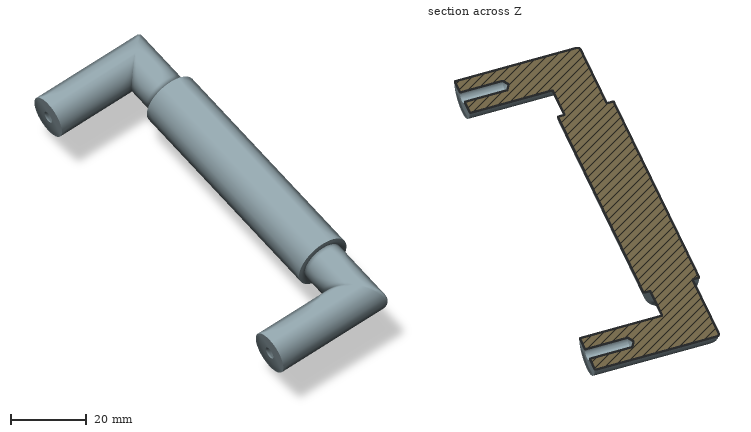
import cadquery as cq
import math

overall_length = 108.0
tube_diameter = 12.0
sleeve_diameter = 15.8
sleeve_length = 66.0
leg_length = 29.2
corner_radius = 1.0
core_fraction = 0.98
hole_diameter = 3.3
hole_depth = 12.0
drill_tip_angle = 118.0

tube_radius = tube_diameter / 2
hole_radius = hole_diameter / 2
leg_offset = overall_length / 2 - tube_radius


def mitred_frame():
    """Round bar following the U-shaped centre line, with mitred corners."""
    path = (
        cq.Workplane("XY")
        .moveTo(-leg_offset, -leg_length)
        .lineTo(-leg_offset, 0)
        .lineTo(leg_offset, 0)
        .lineTo(leg_offset, -leg_length)
    )
    return (
        cq.Workplane("XZ", origin=(-leg_offset, -leg_length, 0))
        .circle(tube_radius)
        .sweep(path, transition="right")
    )


def sleeve():
    """Thicker grip centred on the bar."""
    return (
        cq.Workplane("YZ", origin=(-sleeve_length / 2, 0, 0))
        .circle(sleeve_diameter / 2)
        .extrude(sleeve_length)
    )


def mounting_hole(x):
    """Blind hole with a conical drill tip, entering the end of a leg."""
    tip_depth = hole_radius / math.tan(math.radians(drill_tip_angle / 2))
    return (
        cq.Workplane("XY", origin=(x, -leg_length, 0))
        .polyline([
            (0, 0),
            (hole_radius, 0),
            (hole_radius, hole_depth),
            (0, hole_depth + tip_depth),
        ])
        .close()
        .revolve(360, (0, 0, 0), (0, 1, 0))
    )


def round_outer_mitres(frame):
    """Round the outer mitre edges where the two tube surfaces meet at an angle.

    The surfaces become tangent at the very top and bottom of each mitre, so thin
    caps there stay unrounded and are joined back to the rounded core.
    """
    slab_side = 2 * overall_length
    core_slab = cq.Workplane("XY").box(slab_side, slab_side, core_fraction * tube_diameter)
    core = frame.intersect(core_slab)
    caps = frame.cut(core_slab)
    mitre_edges = cq.selectors.BoxSelector(
        (-overall_length, 0, -tube_radius),
        (overall_length, tube_radius, tube_radius),
    )
    return core.edges("%ELLIPSE").edges(mitre_edges).fillet(corner_radius).union(caps)


result = round_outer_mitres(mitred_frame()).union(sleeve())
for x in (-leg_offset, leg_offset):
    result = result.cut(mounting_hole(x))